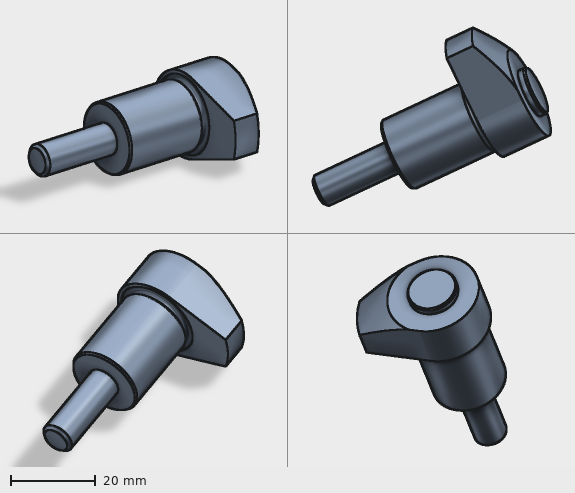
import cadquery as cq
import math

head_radius = 10.99
head_height = 12.0
lever_reach = 19.95
tip_half_width = 5.0
tip_bevel_drop = 5.0
tip_bevel_angle = 30

cap_diameter = 12.0
cap_height = 2.0
cap_chamfer_width = 0.3
cap_chamfer_height = 0.5

recess_diameter = 20.0
recess_depth = 0.5

barrel_diameter = 18
barrel_end = 23.0
barrel_chamfer_width = 0.35
barrel_chamfer_height = 0.5
groove_radius = 1.0

rod_diameter = 8.0
rod_length = 21.0
rod_chamfer = 0.8

margin = 0.6


def revolve_around_y(profile):
    return profile.close().revolve(360, (0, 0, 0), (0, 1, 0))


def make_lever_head():
    """Teardrop plate: a round head with flanks tangent to it and a rounded tip."""
    corner_x = math.sqrt(lever_reach**2 - tip_half_width**2)
    tangent_angle = math.atan2(tip_half_width, corner_x) + math.acos(head_radius / lever_reach)
    tangent_x = head_radius * math.cos(tangent_angle)
    tangent_z = head_radius * math.sin(tangent_angle)
    head = (
        cq.Workplane("XZ")
        .moveTo(tangent_x, tangent_z)
        .threePointArc((-head_radius, 0), (tangent_x, -tangent_z))
        .lineTo(corner_x, -tip_half_width)
        .threePointArc((lever_reach, 0), (corner_x, tip_half_width))
        .close()
        .extrude(-head_height)
    )
    return head.cut(make_tip_bevel()).cut(make_recess())


def make_tip_bevel():
    """Ring that leaves a cone on the upper face of the lever."""
    bevel_slope = 1 / math.tan(math.radians(tip_bevel_angle))
    bevel_start = lever_reach - tip_bevel_drop * bevel_slope
    outer_radius = lever_reach + margin
    outer_drop = tip_bevel_drop + margin / bevel_slope
    return revolve_around_y(
        cq.Workplane("XY")
        .moveTo(bevel_start, head_height)
        .lineTo(outer_radius, head_height - outer_drop)
        .lineTo(outer_radius, head_height)
    )


def make_recess():
    """Shallow round recess in the head underside, around the groove."""
    return cq.Workplane("XZ").circle(recess_diameter / 2).extrude(-recess_depth)


def make_plunger():
    """Cap, groove, barrel and rod as one turned body."""
    cap_radius = cap_diameter / 2
    cap_top = head_height + cap_height
    barrel_radius = barrel_diameter / 2
    rod_radius = rod_diameter / 2
    rod_end = barrel_end + rod_length
    groove_bottom = (barrel_radius - groove_radius, recess_depth - groove_radius)
    barrel_shoulder = recess_depth - 2 * groove_radius
    return revolve_around_y(
        cq.Workplane("XY")
        .moveTo(0, cap_top)
        .lineTo(cap_radius - cap_chamfer_width, cap_top)
        .lineTo(cap_radius, cap_top - cap_chamfer_height)
        .lineTo(cap_radius, recess_depth)
        .lineTo(barrel_radius, recess_depth)
        .threePointArc(groove_bottom, (barrel_radius, barrel_shoulder))
        .lineTo(barrel_radius, barrel_chamfer_height - barrel_end)
        .lineTo(barrel_radius - barrel_chamfer_width, -barrel_end)
        .lineTo(rod_radius, -barrel_end)
        .lineTo(rod_radius, rod_chamfer - rod_end)
        .lineTo(rod_radius - rod_chamfer, -rod_end)
        .lineTo(0, -rod_end)
    )


result = make_lever_head().union(make_plunger())